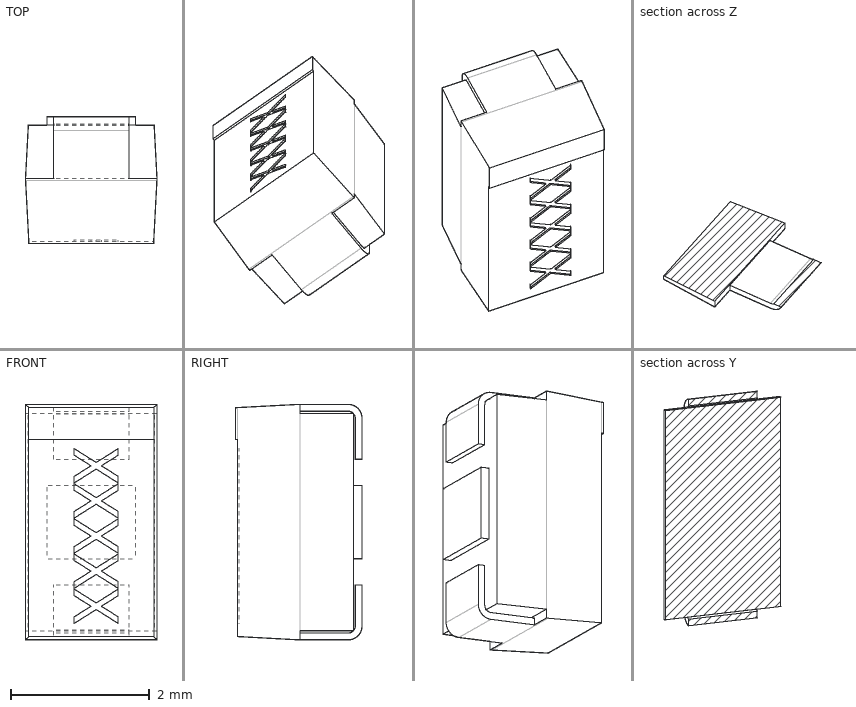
import cadquery as cq

width = 1.9
depth = 1.83
height = 3.4
front_y = -depth / 2
back_y = depth / 2

band_thickness = 0.03
body_front_y = front_y + band_thickness
parting_y = back_y - 0.895
rim_thickness = 0.025
rim_front_y = parting_y - rim_thickness
front_inset = 0.048
back_inset = 0.04
back_end_inset = 0.133
standoff = 0.122
body_back_y = back_y - standoff

band_height = 0.462

terminal_width = 1.085
terminal_thickness = 0.102
terminal_foot = 0.795
bend_radius = 0.2
pad_width = 1.28
pad_height = 1.06

cross_count = 5
cross_pitch = 0.505
cross_width = 0.635
cross_height = 0.495
cross_stroke = 0.095
cross_x = 0.07
cross_z = -0.2
engraving_depth = 0.025


def front_half():
    """Drafted front half with its polarity band: the end profile crossed with the plan outline."""
    half_width = width / 2
    half_height = height / 2
    front_half_width = half_width - front_inset
    front_half_height = half_height - front_inset
    band_bottom = front_half_height - band_height

    end_profile = [
        (parting_y, half_height),
        (rim_front_y, half_height),
        (front_y, front_half_height),
        (front_y, band_bottom),
        (body_front_y, band_bottom),
        (body_front_y, -front_half_height),
        (rim_front_y, -half_height),
        (parting_y, -half_height),
    ]
    plan_outline = [
        (-half_width, parting_y),
        (half_width, parting_y),
        (front_half_width, body_front_y),
        (front_half_width, front_y),
        (-front_half_width, front_y),
        (-front_half_width, body_front_y),
    ]
    ends = cq.Workplane("YZ").polyline(end_profile).close().extrude(half_width, both=True)
    sides = cq.Workplane("XY").polyline(plan_outline).close().extrude(half_height, both=True)
    return ends.intersect(sides)


def back_half():
    """Block drafted only on its two sides, with flat ends."""
    outline = [
        (-width / 2, parting_y),
        (width / 2, parting_y),
        (width / 2 - back_inset, body_back_y),
        (-width / 2 + back_inset, body_back_y),
    ]
    length = height - 2 * back_end_inset
    return cq.Workplane("XY").polyline(outline).close().extrude(length / 2, both=True)


def upper_terminal():
    """Strip leaving the body at the parting plane and folded down behind it."""
    top_z = height / 2
    foot_z = top_z - terminal_foot
    inner_radius = bend_radius - terminal_thickness
    return (
        cq.Workplane("YZ")
        .moveTo(parting_y, top_z)
        .lineTo(back_y - bend_radius, top_z)
        .radiusArc((back_y, top_z - bend_radius), bend_radius)
        .lineTo(back_y, foot_z)
        .lineTo(back_y - terminal_thickness, foot_z)
        .lineTo(back_y - terminal_thickness, top_z - bend_radius)
        .radiusArc((back_y - bend_radius, top_z - terminal_thickness), -inner_radius)
        .lineTo(parting_y, top_z - terminal_thickness)
        .close()
        .extrude(terminal_width / 2, both=True)
    )


def centre_pad():
    """Block on the back of the body, level with the terminal feet."""
    return cq.Workplane("XZ", origin=(0, back_y, 0)).rect(pad_width, pad_height).extrude(standoff)


def cross_bar(z_centre, direction):
    """One diagonal stroke with vertical ends; direction +1 rises with X, -1 falls."""
    half_width = cross_width / 2
    half_rise = direction * (cross_height - cross_stroke) / 2
    half_stroke = cross_stroke / 2
    outline = [
        (-half_width, -half_rise - half_stroke),
        (half_width, half_rise - half_stroke),
        (half_width, half_rise + half_stroke),
        (-half_width, -half_rise + half_stroke),
    ]
    return (
        cq.Workplane("XZ", origin=(cross_x, body_front_y, z_centre))
        .polyline(outline)
        .close()
        .extrude(-engraving_depth)
    )


result = front_half().union(back_half())

terminal = upper_terminal()
result = result.union(terminal).union(terminal.mirror("XY"))
result = result.union(centre_pad())

for index in range(cross_count):
    bar_z = cross_z + (index - (cross_count - 1) / 2) * cross_pitch
    for slope in (1, -1):
        result = result.cut(cross_bar(bar_z, slope))